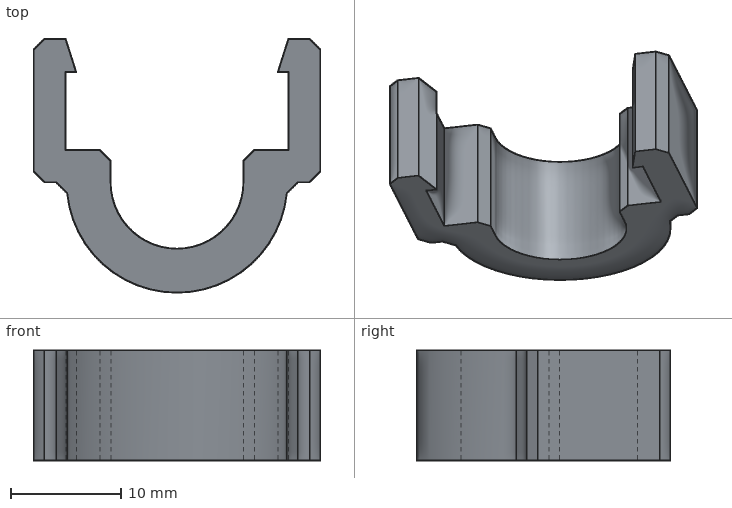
import cadquery as cq
import math

width = 26.0
depth = 10.0
outer_radius = 10.0
inner_radius = 6.0
arm_length = 13.0
arm_thickness = 2.9
shelf_height = 2.95
chamfer = 1.0
hook_overhang = 0.95
hook_length = 3.02

arm_outer = width / 2
arm_inner = arm_outer - arm_thickness
hook_tip = arm_inner - hook_overhang
hook_base = arm_length - hook_length
neck_y = -chamfer
neck_x = math.sqrt(outer_radius**2 - neck_y**2)

right_side = [
    (neck_x, neck_y),
    (neck_x + chamfer, 0),
    (arm_outer - chamfer, 0),
    (arm_outer, chamfer),
    (arm_outer, arm_length - chamfer),
    (arm_outer - chamfer, arm_length),
    (arm_inner, arm_length),
    (hook_tip, hook_base),
    (arm_inner, hook_base),
    (arm_inner, shelf_height),
    (inner_radius + chamfer, shelf_height),
    (inner_radius, shelf_height - chamfer),
    (inner_radius, 0),
]
left_side = [(-x, y) for x, y in reversed(right_side)]

profile = cq.Workplane("XY").moveTo(*right_side[0])
for point in right_side[1:]:
    profile = profile.lineTo(*point)
profile = profile.threePointArc((0, -inner_radius), left_side[0])
for point in left_side[1:]:
    profile = profile.lineTo(*point)
profile = profile.threePointArc((0, -outer_radius), right_side[0]).close()

result = profile.extrude(depth)